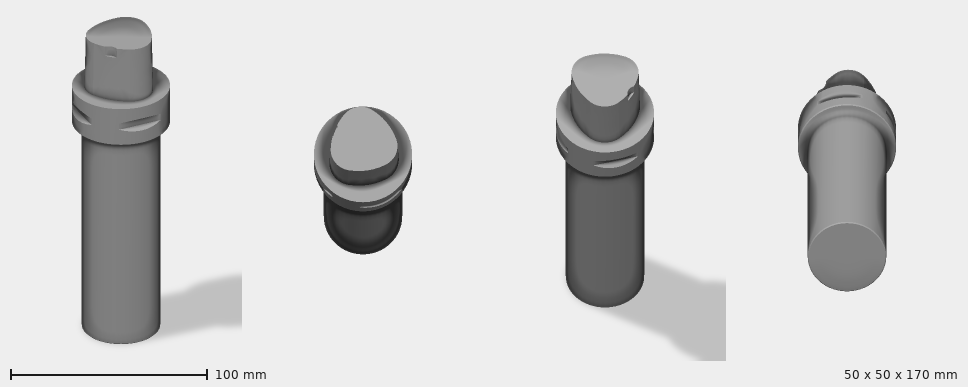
import cadquery as cq
import math

total_height = 170.0
shank_length = 30.0
flange_base_height = 118.8

body_radius = 40.0 / 2
flange_radius = 50.0 / 2
bottom_chamfer = 0.5
rim_chamfer = 0.5
neck_radius = 3.0

flat_reach = 16.2
lobe_reach = 18.7
flat_radius = 30.6
shank_taper_inset = 0.7
lobe_count = 3

groove_count = 4
groove_drop = 10.2
groove_floor_height = 3.5
groove_mouth_height = 7.0
groove_floor_distance = 22.1

notch_radius = 4.6
notch_depth_height = 5.3
notch_floor_y = -14.1

flange_top_height = total_height - shank_length


def polar(radius, angle):
    return radius * math.cos(math.radians(angle)), radius * math.sin(math.radians(angle))


def make_body():
    """Shaft, concave neck and flange as one revolved profile."""
    neck_outer_radius = body_radius + neck_radius
    neck_bend = neck_radius * (1 - math.sqrt(0.5))
    neck_start_height = flange_base_height - neck_radius
    return (
        cq.Workplane("XZ")
        .lineTo(body_radius - bottom_chamfer, 0)
        .lineTo(body_radius, bottom_chamfer)
        .lineTo(body_radius, neck_start_height)
        .threePointArc(
            (body_radius + neck_bend, flange_base_height - neck_bend),
            (neck_outer_radius, flange_base_height),
        )
        .lineTo(flange_radius - rim_chamfer, flange_base_height)
        .lineTo(flange_radius, flange_base_height + rim_chamfer)
        .lineTo(flange_radius, flange_top_height)
        .lineTo(0, flange_top_height)
        .close()
        .revolve(360, (0, 0), (0, 1))
    )


def draw_lobed_outline(plane, inset):
    """Three shallow arcs tangent to three tight lobe arcs; one flat faces -Y."""
    flat_distance = flat_reach - inset
    lobe_distance = lobe_reach - inset
    side_radius = flat_radius - inset

    flat_offset = side_radius - flat_distance
    reach_gap = side_radius - lobe_distance
    lobe_offset = (flat_offset**2 - reach_gap**2) / (2 * reach_gap - flat_offset)

    lobe_across = lobe_offset * math.sin(math.pi / lobe_count)
    lobe_along = lobe_offset * math.cos(math.pi / lobe_count) + flat_offset
    half_angle = math.atan2(lobe_across, lobe_along)
    joint_across = side_radius * math.sin(half_angle)
    joint_along = side_radius * math.cos(half_angle) - flat_offset
    joint_distance = math.hypot(joint_across, joint_along)
    joint_angle = math.degrees(math.atan2(joint_across, joint_along))

    pitch = 360 / lobe_count
    first_flat_angle = -90
    outline = plane.moveTo(*polar(joint_distance, first_flat_angle - joint_angle))
    for index in range(lobe_count):
        flat_angle = first_flat_angle + index * pitch
        outline = outline.threePointArc(
            polar(flat_distance, flat_angle),
            polar(joint_distance, flat_angle + joint_angle),
        ).threePointArc(
            polar(lobe_distance, flat_angle + pitch / 2),
            polar(joint_distance, flat_angle + pitch - joint_angle),
        )
    return outline.close()


def make_shank():
    base = draw_lobed_outline(cq.Workplane("XY").workplane(offset=flange_top_height), 0)
    top_plane = base.workplane(offset=shank_length)
    return draw_lobed_outline(top_plane, shank_taper_inset).loft(ruled=True)


def make_groove():
    """Straight groove across the +X side of the flange, with sloping walls."""
    floor_half = groove_floor_height / 2
    mouth_half = groove_mouth_height / 2
    return (
        cq.Workplane("XZ")
        .polyline([
            (groove_floor_distance, -floor_half),
            (flange_radius, -mouth_half),
            (flange_radius, mouth_half),
            (groove_floor_distance, floor_half),
        ])
        .close()
        .extrude(flange_radius, both=True)
        .translate((0, 0, flange_top_height - groove_drop))
    )


def make_notch():
    return (
        cq.Workplane("XY")
        .workplane(offset=total_height - notch_depth_height)
        .center(0, notch_floor_y - notch_radius)
        .circle(notch_radius)
        .extrude(notch_depth_height)
    )


result = make_body().union(make_shank())
for groove_index in range(groove_count):
    groove_angle = (groove_index + 0.5) * 360 / groove_count
    result = result.cut(make_groove().rotate((0, 0, 0), (0, 0, 1), groove_angle))
result = result.cut(make_notch())